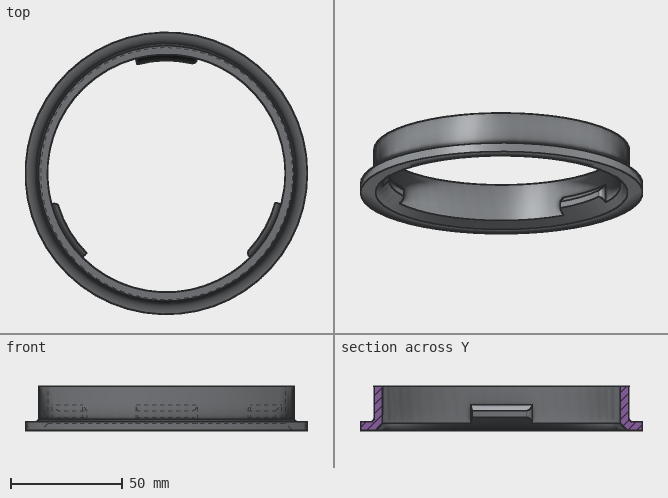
import cadquery as cq

full_turn = 360.0

height = 20.0
bore_radius = 53.5
wall_radius = 57.5
flange_radius = 63.5
flange_thickness = 4.0
root_chamfer = 1.0
mouth_chamfer = 3.25

tab_count = 3
tab_first_angle = 90.0
tab_span = 30.0
tab_depth = 2.75
tab_top = 11.7
tab_corner_radius = 2.0
tab_overlap = 1.0


def make_ring():
    """Flanged ring, revolved about Z."""
    profile = [
        (bore_radius, 0),
        (flange_radius, 0),
        (flange_radius, flange_thickness),
        (wall_radius + root_chamfer, flange_thickness),
        (wall_radius, flange_thickness + root_chamfer),
        (wall_radius, height),
        (bore_radius, height),
    ]
    return cq.Workplane("XZ").polyline(profile).close().revolve(full_turn, (0, 0), (0, 1))


def make_tab(mid_angle):
    """Tab centred on mid_angle, with a 45 degree top and one rounded end."""
    inner_radius = bore_radius - tab_depth
    outer_radius = bore_radius + tab_overlap
    profile = [
        (inner_radius, 0),
        (outer_radius, 0),
        (outer_radius, tab_top + tab_overlap),
        (inner_radius, tab_top - tab_depth),
    ]
    tab = cq.Workplane("XZ").polyline(profile).close().revolve(tab_span, (0, 0), (0, 1))
    clockwise_end = cq.selectors.NearestToPointSelector((inner_radius, 0, tab_top / 2))
    tab = tab.edges("|Z").edges(clockwise_end).fillet(tab_corner_radius)
    return tab.rotate((0, 0, 0), (0, 0, 1), mid_angle - tab_span / 2)


def make_mouth_cone():
    """45 degree cone that bevels the bore edge and the undersides of the tabs."""
    base_radius = bore_radius + mouth_chamfer
    profile = [(0, 0), (base_radius, 0), (0, base_radius)]
    return cq.Workplane("XZ").polyline(profile).close().revolve(full_turn, (0, 0), (0, 1))


result = make_ring()
for index in range(tab_count):
    result = result.union(make_tab(tab_first_angle + index * full_turn / tab_count))
result = result.cut(make_mouth_cone())